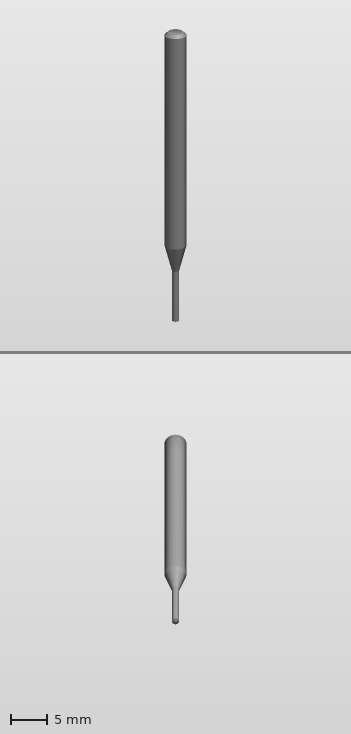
import cadquery as cq
import math

total_length = 43.0
shank_radius = 3.0 / 2
tip_radius = 1.0 / 2

point_height = 0.2
joint_height = 6.6
neck_top = 7.5
shoulder_height = 11.35

end_chamfer = 0.45
neck_fillet_length = 0.25


def make_tip():
    """Slim cylindrical cutting tip ending in a shallow conical point."""
    return (
        cq.Workplane("XZ")
        .moveTo(0, 0)
        .lineTo(tip_radius, point_height)
        .lineTo(tip_radius, joint_height)
        .lineTo(0, joint_height)
        .close()
        .revolve(360, (0, 0), (0, 1))
    )


def make_shank():
    """Straight neck, filleted into a taper, then a cylinder with a chamfered end."""
    taper_start_height = neck_top + neck_fillet_length / 2
    taper_angle = math.atan2(shank_radius - tip_radius, shoulder_height - taper_start_height)
    fillet_radius = neck_fillet_length / math.sin(taper_angle)
    fillet_end_radius = tip_radius + fillet_radius * (1 - math.cos(taper_angle))
    fillet_mid = (
        tip_radius + fillet_radius * (1 - math.cos(taper_angle / 2)),
        neck_top + fillet_radius * math.sin(taper_angle / 2),
    )
    fillet_end = (fillet_end_radius, neck_top + neck_fillet_length)

    return (
        cq.Workplane("XZ")
        .moveTo(0, joint_height)
        .lineTo(tip_radius, joint_height)
        .lineTo(tip_radius, neck_top)
        .threePointArc(fillet_mid, fillet_end)
        .lineTo(shank_radius, shoulder_height)
        .lineTo(shank_radius, total_length - end_chamfer)
        .lineTo(shank_radius - end_chamfer, total_length)
        .lineTo(0, total_length)
        .close()
        .revolve(360, (0, 0), (0, 1))
    )


tip = make_tip()
shank = make_shank()

result = cq.Compound.makeCompound([tip.val(), shank.val()])